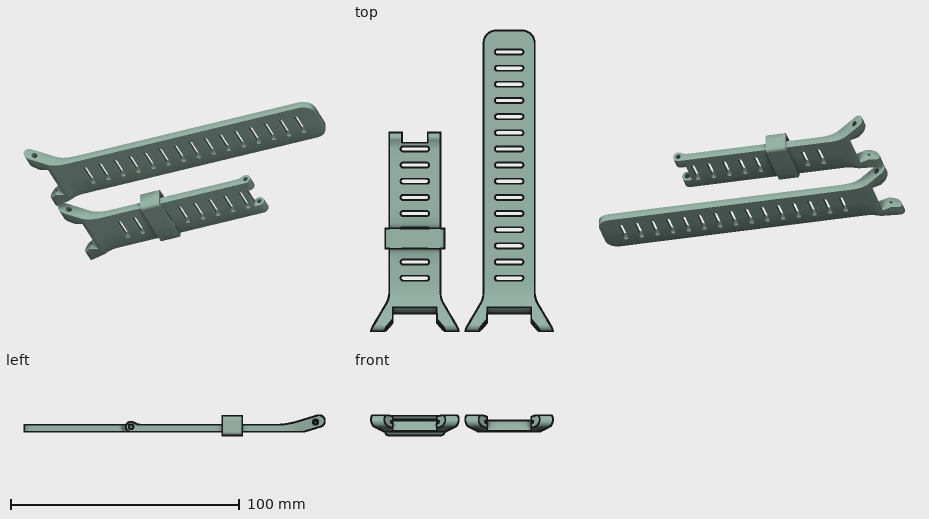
import cadquery as cq
import math

strap_width = 22.5
strap_thickness = 3.15
long_strap_length = 131.71
long_strap_end = 109.75
short_strap_end = 65.15
strap_spacing = 41.25
end_corner_radius = strap_width / 4

slot_length = 12.4
slot_width = 2.1
slot_pitch = 7.07
first_slot_y = 1.3
long_slot_count = 15
short_slot_count = 9

lug_angle = 16.85
lug_tip_radius = 2.6
lug_tip_y = long_strap_end - long_strap_length
bend_length = 9.9
head_width = 38.5
flare_angle = 29.6
flare_fillet = 11.0
notch_width = 19.3
notch_top_y = -11.4
notch_wall_angle = 32.0
lug_chamfer_width = 3.75
lug_chamfer_length = 4.6
pin_hole_diameter = 1.2
pin_recess_diameter = 2.4
pin_recess_floor_x = 14.0
pin_hole_setback = 1.6

barrel_radius = 2.25
barrel_hole_diameter = 2.2
barrel_fillet = 6.4
buckle_notch_width = strap_width / 2
buckle_notch_depth = 2 * barrel_radius

keeper_width = 26.0
keeper_length = 8.85
keeper_height = 8.7
keeper_wall = 1.6
keeper_side_wall = 1.25
keeper_y = 14.2
keeper_corner_radius = 1.7

tilt = math.radians(lug_angle)
tilt_sin = math.sin(tilt)
tilt_cos = math.cos(tilt)
bend_end_z = strap_thickness + bend_length * math.tan(tilt / 2)
tip_y = lug_tip_y + lug_tip_radius
tip_z = bend_end_z - (tip_y + bend_length) * math.tan(tilt) - lug_tip_radius / tilt_cos
lug_plane = cq.Plane(origin=(0, tip_y, tip_z), xDir=(1, 0, 0), normal=(0, tilt_sin, tilt_cos))


def slots(count):
    """Row of through slots, starting next to the bend and tall enough to clear the hinge barrel."""
    centres = [(0, first_slot_y + i * slot_pitch) for i in range(count)]
    return (
        cq.Workplane("XY")
        .pushPoints(centres)
        .slot2D(slot_length, slot_width)
        .extrude(2 * barrel_radius)
    )


def head_profile():
    """Side profile of the case end, extruded to the full lug width."""
    top_tangent = (tip_y + lug_tip_radius * tilt_sin, tip_z + lug_tip_radius * tilt_cos)
    low_tangent = (tip_y - lug_tip_radius * tilt_sin, tip_z - lug_tip_radius * tilt_cos)
    nose = (tip_y - lug_tip_radius * tilt_cos, tip_z + lug_tip_radius * tilt_sin)
    bend_radius = bend_length / tilt_sin
    bend_middle = (
        -bend_radius * math.sin(tilt / 2),
        strap_thickness + bend_radius * (1 - math.cos(tilt / 2)),
    )
    kink_y = low_tangent[0] + low_tangent[1] / math.tan(tilt)
    return (
        cq.Workplane("YZ")
        .moveTo(0, 0)
        .lineTo(0, strap_thickness)
        .threePointArc(bend_middle, (-bend_length, bend_end_z))
        .lineTo(*top_tangent)
        .threePointArc(nose, low_tangent)
        .lineTo(kink_y, 0)
        .close()
        .extrude(head_width / 2, both=True)
    )


def head_outline():
    """Flared plan shape of the case end, square to the lugs."""
    half_strap = strap_width / 2
    half_head = head_width / 2
    reach = 2 * -lug_tip_y
    flare_length = (half_head - half_strap) / math.tan(math.radians(flare_angle))
    flare_start = flare_length - lug_tip_radius
    outline = (
        cq.Workplane("XY")
        .polyline([
            (-half_head, -lug_tip_radius),
            (half_head, -lug_tip_radius),
            (half_strap, flare_start),
            (half_strap, reach),
            (-half_strap, reach),
            (-half_strap, flare_start),
        ])
        .close()
        .extrude(reach, both=True)
    )
    corners = cq.selectors.BoxSelector(
        (-half_head, flare_start - 1, -reach), (half_head, flare_start + 1, reach)
    )
    outline = outline.edges("|Z").edges(corners).fillet(flare_fillet)
    return outline.val().moved(lug_plane.location)


def case_notch():
    """Notch between the lugs, with a sloped back wall."""
    clear = 2 * -lug_tip_y
    wall_slope = math.tan(math.radians(notch_wall_angle))
    top_z = bend_end_z + (-bend_length - notch_top_y) * math.tan(tilt)
    return (
        cq.Workplane("YZ")
        .polyline([
            (notch_top_y + clear * wall_slope, top_z + clear),
            (notch_top_y - clear * wall_slope, top_z - clear),
            (-2 * clear, top_z - clear),
            (-2 * clear, top_z + clear),
        ])
        .close()
        .extrude(notch_width / 2, both=True)
    )


def lug_chamfers():
    """Cutter that bevels the inner corner of each lug tip, square to the lugs."""
    half_notch = notch_width / 2
    chamfer_end = half_notch + lug_chamfer_width
    return (
        cq.Workplane(lug_plane)
        .polyline([
            (-half_notch, lug_chamfer_length - lug_tip_radius),
            (half_notch, lug_chamfer_length - lug_tip_radius),
            (chamfer_end, -lug_tip_radius),
            (-chamfer_end, -lug_tip_radius),
        ])
        .close()
        .extrude(2 * lug_tip_radius, both=True)
    )


def pin_holes():
    """Pin hole through both lugs, with a wider recess from each outer side."""
    centre = (tip_y + pin_hole_setback * tilt_cos, tip_z - pin_hole_setback * tilt_sin)
    holes = (
        cq.Workplane("YZ")
        .center(*centre)
        .circle(pin_hole_diameter / 2)
        .extrude(head_width / 2, both=True)
    )
    for side in (1, -1):
        recess = (
            cq.Workplane("YZ", origin=(side * pin_recess_floor_x, 0, 0))
            .center(*centre)
            .circle(pin_recess_diameter / 2)
            .extrude(side * (head_width / 2 - pin_recess_floor_x))
        )
        holes = holes.union(recess)
    return holes


def case_end():
    """Bent case end with its two flared lugs."""
    return (
        head_profile()
        .intersect(cq.Workplane(head_outline()))
        .cut(case_notch())
        .cut(lug_chamfers())
        .cut(pin_holes())
    )


def flat_band(end_y):
    """Flat part of a strap, from the bend to end_y."""
    return cq.Workplane("XY").box(
        strap_width, end_y, strap_thickness, centered=(True, False, False)
    )


def make_long_strap():
    """Strap with a rounded free end."""
    band = flat_band(long_strap_end).edges("|Z and >Y").fillet(end_corner_radius)
    strap = band.union(case_end()).cut(slots(long_slot_count))
    return strap.translate((strap_spacing, 0, 0))


def hinge_barrel():
    """Barrel across the buckle end, blended into the top of the band."""
    centre_y = short_strap_end - barrel_radius
    blend_z = strap_thickness + barrel_fillet
    centre_distance = barrel_radius + barrel_fillet
    blend_offset = math.sqrt(centre_distance**2 - (blend_z - barrel_radius) ** 2)
    blend_y = centre_y - blend_offset
    contact = (
        centre_y - barrel_radius * blend_offset / centre_distance,
        barrel_radius + barrel_radius * (blend_z - barrel_radius) / centre_distance,
    )
    half_sweep = math.asin(blend_offset / centre_distance) / 2
    blend_middle = (
        blend_y + barrel_fillet * math.sin(half_sweep),
        blend_z - barrel_fillet * math.cos(half_sweep),
    )
    return (
        cq.Workplane("YZ")
        .moveTo(blend_y, 0)
        .lineTo(blend_y, strap_thickness)
        .threePointArc(blend_middle, contact)
        .threePointArc((short_strap_end, barrel_radius), (centre_y, 0))
        .close()
        .extrude(strap_width / 2, both=True)
    )


def buckle_cuts():
    """Notch for the buckle tongue and the hole for its pin."""
    notch = cq.Workplane("XY").box(
        buckle_notch_width, 2 * buckle_notch_depth, 4 * barrel_radius
    ).translate((0, short_strap_end, 0))
    pin_hole = (
        cq.Workplane("YZ")
        .center(short_strap_end - barrel_radius, barrel_radius)
        .circle(barrel_hole_diameter / 2)
        .extrude(strap_width / 2, both=True)
    )
    return notch.union(pin_hole)


def make_short_strap():
    """Strap with a hinge for the buckle."""
    return (
        flat_band(short_strap_end - barrel_radius)
        .union(hinge_barrel())
        .union(case_end())
        .cut(slots(short_slot_count))
        .cut(buckle_cuts())
    )


def make_keeper():
    """Rounded rectangular loop that the short strap rests in."""
    outer = (
        cq.Workplane("XY")
        .box(keeper_width, keeper_length, keeper_height, centered=(True, False, False))
        .edges("|Y")
        .fillet(keeper_corner_radius)
    )
    opening = cq.Workplane("XY").box(
        keeper_width - 2 * keeper_side_wall,
        keeper_length,
        keeper_height - 2 * keeper_wall,
        centered=(True, False, False),
    )
    loop = outer.cut(opening.translate((0, 0, keeper_wall)))
    return loop.translate((0, keeper_y, -keeper_wall))


long_strap = make_long_strap()
short_strap = make_short_strap()
keeper = make_keeper()

result = cq.Compound.makeCompound([long_strap.val(), short_strap.val(), keeper.val()])